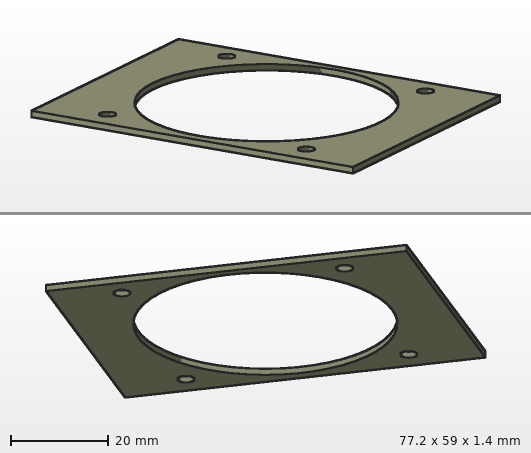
import cadquery as cq

length = 77.2
width = 59.0
thickness = 1.4

opening_diameter = 54.35
hole_spacing = 47.7
hole_diameter = 3.5
pattern_offset_y = 0.3

plate = cq.Workplane("XY").box(length, width, thickness)

pattern_plane = plate.faces(">Z").workplane().center(0, pattern_offset_y).tag("pattern")
with_opening = pattern_plane.hole(opening_diameter)

result = (
    with_opening.workplaneFromTagged("pattern")
    .rect(hole_spacing, hole_spacing, forConstruction=True)
    .vertices()
    .hole(hole_diameter)
)